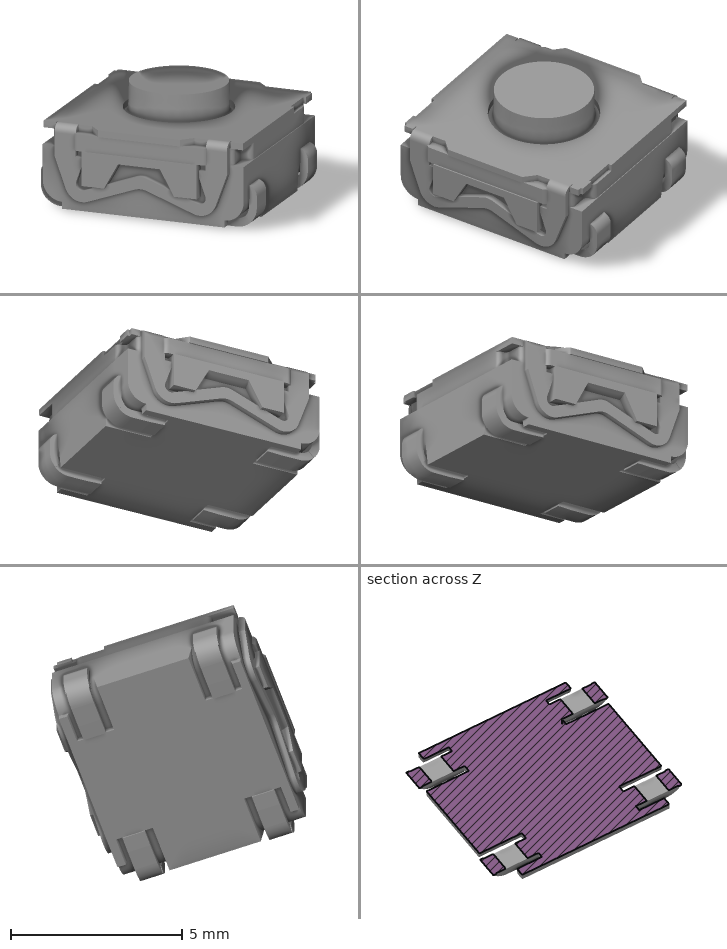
import cadquery as cq
import math


cos_45 = math.sqrt(0.5)

base_bottom = 0.075
base_top = 1.985
cover_bottom = 2.495
cover_top = 2.7
button_top = 3.5
cover_thickness = cover_top - cover_bottom

base_half_x = 3.16
base_half_y = 2.815
base_corner_radius = 0.61
base_foot_half_x = 2.56
base_foot_step = 0.285
rib_half_y_high = 1.545
rib_half_y_low = 1.415
foot_pocket_outer_y_low = 2.56
foot_pocket_outer_y_high = 2.515

middle_half_x = 3.14
middle_corner_x = 2.835
middle_corner_y = 2.11
middle_radius = 0.15

block_half_x = 1.815
block_half_y = 3.15
block_bottom = 0.945
notch_half_x_low = 1.1
notch_half_x_high = 0.66
notch_roof_front = 1.735
notch_roof_back = 1.625
shelf_half_x = 2.1
shelf_half_y = 3.11
shelf_radius = 0.15

cover_half_x = 3.14
cover_half_y = 2.81
cover_edge_x = 3.11
cover_inset_x = 3.03
slot_start_y = 1.205
slot_end_y = 2.225
corner_start_y = 2.68
lip_half_y = 3.14
lip_half_x = 2.05
lip_taper_half_x = 1.61
lip_end_half_x = 1.29
hole_radius = 1.645

strap_half_x = 2.71
strap_outer_y = 3.01
strap_bend_radius = 0.25
strap_thickness = strap_outer_y - base_half_y
strap_bend_y = strap_outer_y - strap_bend_radius
strap_bend_z = cover_top - strap_bend_radius
strap_straight_end = 1.73
strap_tilt = 20
strap_lobe = (1.85, 0.95)
strap_outer_radius = 0.545
strap_inner_radius = 0.19
strap_crest_radius = 0.545
window_step_x = 1.83
window_step_top = 1.78
window_step_bottom = 1.585
relief_width = 0.03
relief_start_y = 2.65

button_base_radius = 1.495
button_top_radius = 1.47

terminal_outer_x = 3.4
terminal_center_y = 2.005
terminal_width = 0.735
terminal_foot_width = 0.695
terminal_thickness = 0.25
terminal_top = 1.31
terminal_top_radius = 0.32
terminal_bend_radius = 0.63
terminal_flat_end_x = 2.17
terminal_tip_x = 1.69
terminal_tip_lift = 0.02


def box(x0, x1, y0, y1, z0, z1):
    return cq.Workplane("XY").box(x1 - x0, y1 - y0, z1 - z0, centered=False).translate((x0, y0, z0))


def centered_box(half_x, half_y, z0, z1):
    return box(-half_x, half_x, -half_y, half_y, z0, z1)


def extrude_along_y(points, y0, y1):
    """Prism of an X-Z outline between two Y positions."""
    return cq.Workplane("XZ", origin=(0, y1, 0)).polyline(points).close().extrude(y1 - y0)


def extrude_along_x(points, x0, x1):
    """Prism of a Y-Z outline between two X positions."""
    return cq.Workplane("YZ", origin=(x0, 0, 0)).polyline(points).close().extrude(x1 - x0)


def mirror_points(points):
    """Complete a left-half outline with its mirror image about X = 0."""
    return points + [(-x, z) for x, z in reversed(points)]


def on_both_y_sides(solid):
    return solid.union(solid.mirror("XZ"))


def on_all_quadrants(solid):
    return on_both_y_sides(solid.union(solid.mirror("YZ")))


def make_base():
    base = centered_box(base_half_x, base_half_y, base_bottom, base_top)
    start_z = base_foot_step + base_corner_radius
    center_x = base_half_x - base_corner_radius
    diagonal = base_corner_radius * cos_45
    corner = (
        cq.Workplane("XZ", origin=(0, base_half_y, 0))
        .moveTo(base_half_x, start_z)
        .threePointArc((center_x + diagonal, start_z - diagonal), (center_x, base_foot_step))
        .lineTo(base_foot_half_x, base_foot_step)
        .lineTo(base_foot_half_x, base_bottom)
        .lineTo(base_half_x, base_bottom)
        .close()
        .extrude(base_half_y)
    )
    rib = extrude_along_x(
        [(0, base_bottom), (rib_half_y_low, base_bottom), (rib_half_y_high, start_z), (0, start_z)],
        0, base_half_x,
    )
    rib_slope = (rib_half_y_high - rib_half_y_low) / (start_z - base_bottom)
    rib_half_y_step = rib_half_y_low + rib_slope * (base_foot_step - base_bottom)
    foot_pocket = extrude_along_x(
        [(rib_half_y_low, base_bottom), (foot_pocket_outer_y_low, base_bottom),
         (foot_pocket_outer_y_high, base_foot_step), (rib_half_y_step, base_foot_step)],
        terminal_tip_x, base_foot_half_x,
    )
    return base.cut(on_all_quadrants(corner.cut(rib).union(foot_pocket)))


def make_middle_layer():
    wide = centered_box(middle_half_x, middle_corner_y, base_top, cover_bottom)
    deep = centered_box(middle_corner_x, base_half_y, base_top, cover_bottom)
    return wide.union(deep).edges("|Z").fillet(middle_radius)


def make_locking_blocks():
    block = centered_box(block_half_x, block_half_y, block_bottom, base_top)
    flank_slope = (notch_half_x_low - notch_half_x_high) / (notch_roof_front - block_bottom)
    below = 0.07
    bottom = block_bottom - below
    low_x = notch_half_x_low + flank_slope * below
    notch = extrude_along_y(
        mirror_points([(-low_x, bottom), (-notch_half_x_high, notch_roof_front)]),
        -block_half_y, -base_half_y,
    )
    notch_side = extrude_along_x(
        [(-block_half_y, bottom), (-block_half_y, notch_roof_front),
         (-base_half_y, notch_roof_back), (-base_half_y, bottom)],
        -low_x, low_x,
    )
    shelf = centered_box(shelf_half_x, shelf_half_y, base_top, cover_bottom)
    shelf = shelf.edges("|Z").fillet(shelf_radius)
    return block.cut(on_both_y_sides(notch.intersect(notch_side))).union(shelf)


def make_cover_plate():
    half_outline = [
        (-cover_half_x, -cover_half_y),
        (-cover_half_x, slot_start_y),
        (-cover_inset_x, slot_start_y),
        (-cover_inset_x, slot_end_y),
        (-cover_edge_x, slot_end_y),
        (-cover_edge_x, corner_start_y),
        (-cover_inset_x, corner_start_y),
        (-cover_inset_x, cover_half_y),
    ]
    plate = cq.Workplane("XY", origin=(0, 0, cover_bottom))
    plate = plate.polyline(mirror_points(half_outline)).close().extrude(cover_thickness)
    lip = cq.Workplane("XY", origin=(0, 0, cover_bottom)).polyline(mirror_points([
        (-lip_half_x, 0),
        (-lip_half_x, -cover_half_y),
        (-lip_taper_half_x, -cover_half_y),
        (-lip_end_half_x, -lip_half_y),
    ])).close().extrude(cover_thickness)
    relief = box(strap_half_x, strap_half_x + relief_width, relief_start_y, cover_half_y,
                 cover_bottom, cover_top)
    bend_gap = box(lip_half_x, strap_half_x, strap_bend_y, cover_half_y, cover_bottom, cover_top)
    plate = plate.union(on_both_y_sides(lip)).cut(on_all_quadrants(relief.union(bend_gap)))
    hole = cq.Workplane("XY", origin=(0, 0, cover_bottom)).circle(hole_radius).extrude(cover_thickness)
    return plate.cut(hole)


def lobe_corner(radius, first_normal, second_normal):
    """Sharp corner of two lines tangent to the left lobe circle, given their outward normals."""
    direction = math.radians((first_normal + second_normal) / 2)
    reach = radius / math.cos(math.radians(second_normal - first_normal) / 2)
    return (-strap_lobe[0] + reach * math.cos(direction), strap_lobe[1] + reach * math.sin(direction))


def wave_crest(corner):
    """Point at X = 0 where the wave line rising from a lobe corner meets its mirror image."""
    return (0, corner[1] - corner[0] * math.tan(math.radians(strap_tilt)))


def wavy_prism(upper_points, corner, lobe_radius):
    """Prism across the strap thickness with rounded lobes and a rounded crest between them."""
    crest = wave_crest(corner)
    left = upper_points + [corner]
    right = [(-x, z) for x, z in reversed(left)]
    prism = extrude_along_y(left + [crest] + right, -strap_outer_y, -base_half_y)
    mid_y = -(strap_outer_y + base_half_y) / 2
    for x, z, radius in [(*corner, lobe_radius), (-corner[0], corner[1], lobe_radius),
                         (*crest, strap_crest_radius)]:
        edge = cq.selectors.NearestToPointSelector((x, mid_y, z))
        prism = prism.edges("|Y").edges(edge).fillet(radius)
    return prism


def make_straps():
    wave_normal = 270 + strap_tilt
    outer_corner = lobe_corner(strap_outer_radius, 180 + strap_tilt, wave_normal)
    inner_corner = lobe_corner(strap_inner_radius, 180 - strap_tilt, wave_normal)
    strap = wavy_prism([(-strap_half_x, strap_bend_z), (-strap_half_x, strap_straight_end)],
                       outer_corner, strap_outer_radius)
    window = wavy_prism([(-lip_half_x, strap_bend_z), (-lip_half_x, window_step_top),
                         (-window_step_x, window_step_top), (-window_step_x, window_step_bottom)],
                        inner_corner, strap_inner_radius)
    inner_bend = strap_bend_radius - strap_thickness
    bend = (
        cq.Workplane("YZ", origin=(lip_half_x, 0, 0))
        .moveTo(-strap_bend_y, cover_top)
        .threePointArc((-strap_bend_y - strap_bend_radius * cos_45,
                        strap_bend_z + strap_bend_radius * cos_45),
                       (-strap_outer_y, strap_bend_z))
        .lineTo(-base_half_y, strap_bend_z)
        .threePointArc((-strap_bend_y - inner_bend * cos_45, strap_bend_z + inner_bend * cos_45),
                       (-strap_bend_y, strap_bend_z + inner_bend))
        .close()
        .extrude(strap_half_x - lip_half_x)
    )
    return on_both_y_sides(strap.cut(window)).union(on_all_quadrants(bend))


def make_button():
    flare = hole_radius - button_base_radius
    flare_top = cover_bottom + flare
    flare_mid = flare * (1 - cos_45)
    return (
        cq.Workplane("XZ")
        .moveTo(0, base_top)
        .lineTo(hole_radius, base_top)
        .lineTo(hole_radius, cover_bottom)
        .threePointArc((button_base_radius + flare_mid, cover_bottom + flare_mid),
                       (button_base_radius, flare_top))
        .lineTo(button_top_radius, button_top)
        .lineTo(0, button_top)
        .close()
        .revolve(360, (0, 0, 0), (0, 1, 0))
    )


def make_terminals():
    inner_x = terminal_outer_x - terminal_thickness
    bend_x = terminal_outer_x - terminal_bend_radius
    inner_radius = terminal_bend_radius - terminal_thickness
    top_x = terminal_outer_x - terminal_top_radius
    top_z = terminal_top - terminal_top_radius
    terminal = (
        cq.Workplane("XZ", origin=(0, terminal_center_y + terminal_width / 2, 0))
        .moveTo(top_x, terminal_top)
        .threePointArc((top_x + terminal_top_radius * cos_45, top_z + terminal_top_radius * cos_45),
                       (terminal_outer_x, top_z))
        .lineTo(terminal_outer_x, terminal_bend_radius)
        .threePointArc((bend_x + terminal_bend_radius * cos_45, terminal_bend_radius * (1 - cos_45)),
                       (bend_x, 0))
        .lineTo(terminal_flat_end_x, 0)
        .lineTo(terminal_tip_x, terminal_tip_lift)
        .lineTo(terminal_tip_x, terminal_thickness + terminal_tip_lift)
        .lineTo(terminal_flat_end_x, terminal_thickness)
        .lineTo(bend_x, terminal_thickness)
        .threePointArc((bend_x + inner_radius * cos_45, terminal_bend_radius - inner_radius * cos_45),
                       (inner_x, terminal_bend_radius))
        .lineTo(inner_x, top_z)
        .lineTo(top_x, top_z)
        .close()
        .extrude(terminal_width)
    )
    foot_region = [(bend_x, terminal_bend_radius), (bend_x + terminal_bend_radius, 0),
                   (terminal_tip_x, 0), (terminal_tip_x, terminal_bend_radius)]
    trim = (terminal_width - terminal_foot_width) / 2
    near_y = terminal_center_y - terminal_width / 2
    far_y = terminal_center_y + terminal_width / 2
    terminal = terminal.cut(extrude_along_y(foot_region, near_y, near_y + trim))
    terminal = terminal.cut(extrude_along_y(foot_region, far_y - trim, far_y))
    return on_all_quadrants(terminal)


result = make_base()
for piece in (make_middle_layer(), make_locking_blocks(), make_cover_plate(),
              make_straps(), make_button(), make_terminals()):
    result = result.union(piece)